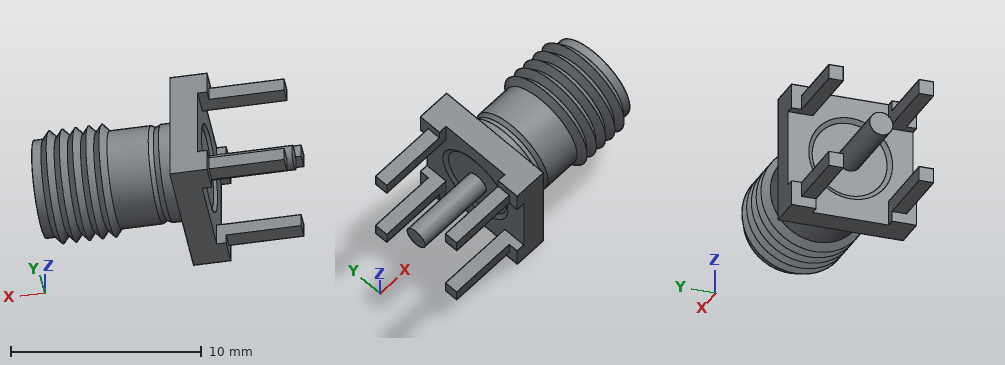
import cadquery as cq

TOTAL_LENGTH = 13.5
PAD_START = 4.0
FLANGE_START = 4.5
FLANGE_END = 5.98

FLANGE_SIDE = 7.0
PAD_SIDE = 1.38
LEG_SIDE = 0.81

PIN_DIAMETER = 1.3
BARREL_DIAMETER = 5.2
RECESS_MOUTH_DIAMETER = 4.7
RECESS_FLOOR_DIAMETER = 4.2
RECESS_DEPTH = 0.16

GROOVE_START = 6.75
GROOVE_BOTTOM = 7.05
GROOVE_END = 7.29
GROOVE_DEPTH = 0.14

THREAD_START = 9.49
THREAD_PITCH = 0.7
THREAD_COUNT = 5
THREAD_DIAMETER = 5.98

PAD_CENTER = (FLANGE_SIDE - PAD_SIDE) / 2
LEG_CENTER = FLANGE_SIDE / 2 - PAD_SIDE + LEG_SIDE / 2


def square_bars(start, end, side, centers):
    """Square bars along X, centred at the given places in the YZ plane."""
    return cq.Workplane("YZ", origin=(start, 0, 0)).pushPoints(centers).rect(side, side).extrude(end - start)


def corners(offset):
    """Four points at equal distances from both cross-section axes."""
    return [(y, z) for y in (-offset, offset) for z in (-offset, offset)]


def barrel():
    """Barrel with its groove and thread rings, revolved about X."""
    radius = BARREL_DIAMETER / 2
    outline = [
        (FLANGE_END, 0),
        (FLANGE_END, radius),
        (GROOVE_START, radius),
        (GROOVE_BOTTOM, radius - GROOVE_DEPTH),
        (GROOVE_END, radius),
        (THREAD_START, radius),
    ]
    for turn in range(THREAD_COUNT):
        ring_start = THREAD_START + turn * THREAD_PITCH
        outline.append((ring_start + THREAD_PITCH / 2, THREAD_DIAMETER / 2))
        outline.append((ring_start + THREAD_PITCH, radius))
    outline += [(TOTAL_LENGTH, radius), (TOTAL_LENGTH, 0)]
    return cq.Workplane("XY").polyline(outline).close().revolve(360, (0, 0), (1, 0))


def recess():
    """Shallow tapered recess in the leg side of the flange."""
    outline = [
        (FLANGE_START, 0),
        (FLANGE_START, RECESS_MOUTH_DIAMETER / 2),
        (FLANGE_START + RECESS_DEPTH, RECESS_FLOOR_DIAMETER / 2),
        (FLANGE_START + RECESS_DEPTH, 0),
    ]
    return cq.Workplane("XY").polyline(outline).close().revolve(360, (0, 0), (1, 0))


flange = square_bars(FLANGE_START, FLANGE_END, FLANGE_SIDE, [(0, 0)]).cut(recess())
pads = square_bars(PAD_START, FLANGE_START, PAD_SIDE, corners(PAD_CENTER))
legs = square_bars(0, PAD_START, LEG_SIDE, corners(LEG_CENTER))
center_pin = cq.Workplane("YZ").circle(PIN_DIAMETER / 2).extrude(FLANGE_START + RECESS_DEPTH)

result = flange.union(pads).union(legs).union(center_pin).union(barrel())